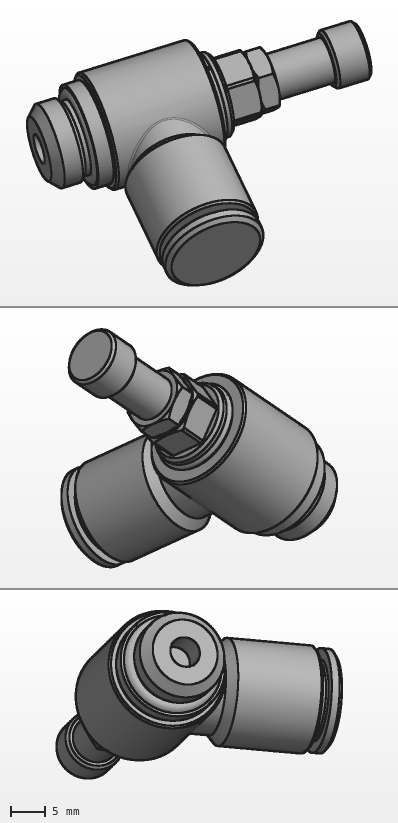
import cadquery as cq
import math


OVERALL_WIDTH = 36.25

BARREL_DIAMETER = 18.0
BARREL_TOP = 8.7
BARREL_BOTTOM = -8.55
BARREL_CHAMFER = 0.3
BORE_DIAMETER = 13.05

ARM_NECK_DIAMETER = 13.1
ARM_DIAMETER = 16.0
ARM_CONE_START = 9.55
ARM_SHOULDER_END = 24.1
ARM_END_CHAMFER = 0.35
ARM_BLEND_RADIUS = 0.3

COLLAR_NECK_DIAMETER = 11.6
COLLAR_FLARE_DIAMETER = 12.2
COLLAR_FLARE_LENGTH = 0.3
COLLAR_DIAMETER = 15.5
COLLAR_START = 25.45
COLLAR_CHAMFER_LENGTH = 0.6
COLLAR_CHAMFER_DEPTH = 0.75

TOTAL_LENGTH = 50.75
KNOB_END = 33.45
KNOB_DIAMETER = 9.0
KNOB_LENGTH = 5.55
KNOB_CHAMFER = 0.45
STEM_DIAMETER = 7.0

NUT_TOP = 18.9
NUT_ACROSS_FLATS = 9.05
HEX_TOP = 15.85
HEX_ACROSS_FLATS = 10.0
HEX_CORNER_DIAMETER = 11.25
HEX_CHAMFER_ANGLE = 30.0

UPPER_FLANGE_TOP = 11.05
UPPER_FLANGE_BOTTOM = 9.85
UPPER_FLANGE_CHAMFER = 0.5
RING_GROOVE_DIAMETER = 11.95
RING_WIRE_DIAMETER = 1.1
RING_OUTER_DIAMETER = 14.0
RING_GAP = 0.45

LOWER_FLANGE_DIAMETER = 16.0
LOWER_FLANGE_LENGTH = 2.55
LOWER_FLANGE_CHAMFER = 0.15
SEAL_WIRE_RADIUS = 1.0
SEAL_CENTRE_DIAMETER = 13.2
SEAL_PROTRUSION = 0.55
THREAD_NECK_DIAMETER = 11.6
THREAD_NECK_END = -12.25
THREAD_DIAMETER = 13.0
THREAD_LEAD_IN = 1.5
PORT_DIAMETER = 4.5
PORT_DEPTH = 5.1

COLLAR_END = OVERALL_WIDTH - BARREL_DIAMETER / 2
KNOB_START = KNOB_END - KNOB_LENGTH
LOWER_FLANGE_BOTTOM = BARREL_BOTTOM - LOWER_FLANGE_LENGTH
THREAD_END = KNOB_END - TOTAL_LENGTH


def y_cylinder(diameter, bottom, top):
    """Solid cylinder on the Y axis between two Y positions."""
    plane = cq.Plane(origin=(0, bottom, 0), xDir=(1, 0, 0), normal=(0, 1, 0))
    return cq.Workplane(plane).circle(diameter / 2).extrude(top - bottom)


def y_torus(centre_diameter, wire_radius, y):
    """Round ring on the Y axis, centred at the given Y position."""
    section = cq.Workplane("XY").center(centre_diameter / 2, y).circle(wire_radius)
    axis_x = -centre_diameter / 2
    return section.revolve(360, (axis_x, 0, 0), (axis_x, 1, 0))


def hexagon(across_flats, bottom, top):
    """Hexagonal prism on the Y axis, with corners on +X and -X."""
    plane = cq.Plane(origin=(0, bottom, 0), xDir=(1, 0, 0), normal=(0, 1, 0))
    corner_diameter = across_flats / math.cos(math.radians(30))
    return cq.Workplane(plane).polygon(6, corner_diameter).extrude(top - bottom)


def hex_envelope(across_flats, outer_diameter, bottom, top, chamfer_bottom):
    """Cylinder with coned ends that cuts back the corners of a hexagon."""
    corner_drop = (outer_diameter - across_flats) / 2
    cone_height = corner_drop * math.tan(math.radians(HEX_CHAMFER_ANGLE))
    envelope = y_cylinder(outer_diameter, bottom, top)
    envelope = envelope.faces(">Y").chamfer(cone_height, corner_drop)
    if chamfer_bottom:
        envelope = envelope.faces("<Y").chamfer(cone_height, corner_drop)
    return envelope


def make_barrel():
    barrel = y_cylinder(BARREL_DIAMETER, BARREL_BOTTOM, BARREL_TOP)
    return barrel.faces("<Y or >Y").chamfer(BARREL_CHAMFER)


def make_arm():
    """Turned tube arm with its release collar, solid from the origin outward."""
    neck = ARM_NECK_DIAMETER / 2
    shoulder = ARM_DIAMETER / 2
    collar_neck = COLLAR_NECK_DIAMETER / 2
    collar_flare = COLLAR_FLARE_DIAMETER / 2
    collar = COLLAR_DIAMETER / 2
    cone_end = ARM_CONE_START + shoulder - neck
    return (
        cq.Workplane("XY")
        .moveTo(0, 0)
        .lineTo(0, neck)
        .lineTo(ARM_CONE_START, neck)
        .lineTo(cone_end, shoulder)
        .lineTo(ARM_SHOULDER_END - ARM_END_CHAMFER, shoulder)
        .lineTo(ARM_SHOULDER_END, shoulder - ARM_END_CHAMFER)
        .lineTo(ARM_SHOULDER_END, collar_neck)
        .lineTo(COLLAR_START - COLLAR_FLARE_LENGTH, collar_neck)
        .lineTo(COLLAR_START, collar_flare)
        .lineTo(COLLAR_START, collar)
        .lineTo(COLLAR_END - COLLAR_CHAMFER_LENGTH, collar)
        .lineTo(COLLAR_END, collar - COLLAR_CHAMFER_DEPTH)
        .lineTo(COLLAR_END, 0)
        .close()
        .revolve(360, (0, 0, 0), (1, 0, 0))
    )


def make_housing():
    body = make_barrel().union(make_arm())
    body = body.edges("%BSPLINE").fillet(ARM_BLEND_RADIUS)
    return body.cut(y_cylinder(BORE_DIAMETER, BARREL_BOTTOM, BARREL_TOP))


def make_knob_and_stem():
    knob = y_cylinder(KNOB_DIAMETER, KNOB_START, KNOB_END)
    knob = knob.faces("<Y or >Y").chamfer(KNOB_CHAMFER)
    return knob.union(y_cylinder(STEM_DIAMETER, NUT_TOP, KNOB_START))


def make_lock_nut():
    corner_diameter = NUT_ACROSS_FLATS / math.cos(math.radians(30))
    envelope = hex_envelope(NUT_ACROSS_FLATS, corner_diameter, HEX_TOP, NUT_TOP, True)
    return hexagon(NUT_ACROSS_FLATS, HEX_TOP, NUT_TOP).intersect(envelope)


def make_core_hexagon():
    envelope = hex_envelope(HEX_ACROSS_FLATS, HEX_CORNER_DIAMETER, UPPER_FLANGE_TOP, HEX_TOP, False)
    return hexagon(HEX_ACROSS_FLATS, UPPER_FLANGE_TOP, HEX_TOP).intersect(envelope)


def make_shank():
    """Shank that fills the housing bore, with the ring groove and upper flange above it."""
    shank = y_cylinder(BORE_DIAMETER, BARREL_BOTTOM, BARREL_TOP)
    groove = y_cylinder(RING_GROOVE_DIAMETER, BARREL_TOP, UPPER_FLANGE_BOTTOM)
    flange = y_cylinder(BORE_DIAMETER, UPPER_FLANGE_BOTTOM, UPPER_FLANGE_TOP)
    flange = flange.faces(">Y").chamfer(UPPER_FLANGE_CHAMFER)
    return shank.union(groove).union(flange)


def make_snap_ring():
    """Round-wire ring in the groove above the barrel, split on its +Z side."""
    wire_radius = RING_WIRE_DIAMETER / 2
    centre_diameter = RING_OUTER_DIAMETER - RING_WIRE_DIAMETER
    ring_y = BARREL_TOP + wire_radius
    ring = y_torus(centre_diameter, wire_radius, ring_y)
    gap = cq.Workplane("XY").box(RING_GAP, 2 * RING_WIRE_DIAMETER, RING_OUTER_DIAMETER)
    return ring.cut(gap.translate((0, ring_y, RING_OUTER_DIAMETER / 2)))


def make_lower_flange():
    """Sealing flange with a round seal standing out of its -Y face."""
    flange = y_cylinder(LOWER_FLANGE_DIAMETER, LOWER_FLANGE_BOTTOM, BARREL_BOTTOM)
    flange = flange.faces(">Y").chamfer(LOWER_FLANGE_CHAMFER)
    seal_y = LOWER_FLANGE_BOTTOM - SEAL_PROTRUSION + SEAL_WIRE_RADIUS
    return flange.union(y_torus(SEAL_CENTRE_DIAMETER, SEAL_WIRE_RADIUS, seal_y))


def make_threaded_end():
    relief = (THREAD_DIAMETER - THREAD_NECK_DIAMETER) / 2
    thread = y_cylinder(THREAD_DIAMETER, THREAD_END, THREAD_NECK_END)
    thread = thread.faces(">Y").chamfer(relief)
    thread = thread.faces("<Y").chamfer(THREAD_LEAD_IN)
    return thread.union(y_cylinder(THREAD_NECK_DIAMETER, THREAD_NECK_END, LOWER_FLANGE_BOTTOM))


def make_valve_core():
    core = make_shank()
    for section in (
        make_core_hexagon(),
        make_lock_nut(),
        make_knob_and_stem(),
        make_snap_ring(),
        make_lower_flange(),
        make_threaded_end(),
    ):
        core = core.union(section)
    return core.cut(y_cylinder(PORT_DIAMETER, THREAD_END, THREAD_END + PORT_DEPTH))


housing = make_housing()
valve_core = make_valve_core()

result = cq.Compound.makeCompound([*housing.solids().vals(), *valve_core.solids().vals()])